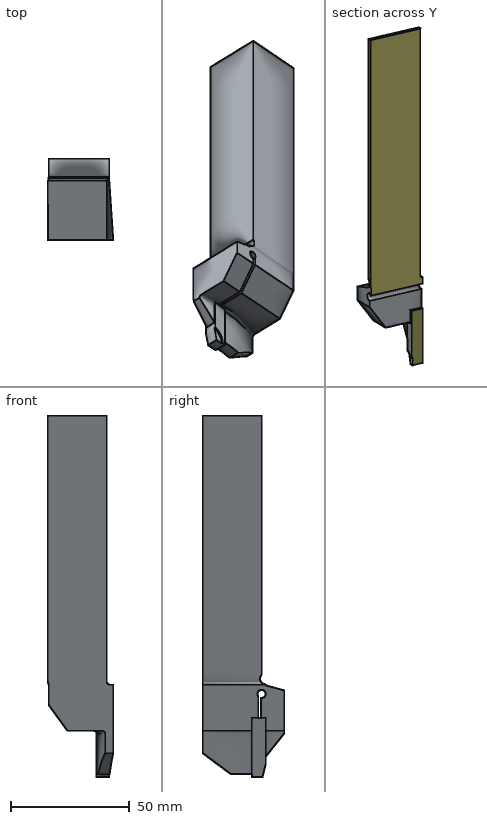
import cadquery as cq

total_height = 152.4
shank_size = 25.0
head_depth = 34.5
head_right = 27.7

shank_front_left = 0.2
head_left = 0.38
head_right_back = 26.0
head_bottom = 19.5
head_top = 39.0
transition_height = 1.2
shank_bottom = head_top + transition_height
left_bevel_top = 30.5
left_bevel_width = 8.0
back_edge_top = 36.5
shoulder_y = 26.7
shoulder_z = 38.7
groove_radius = 2.3
groove_depth = 0.8
back_edge_bottom = 18.5

blade_front_inner = 24.2
blade_mid_inner = 21.26
blade_back_inner = 22.4
blade_mid_outer = 26.2
blade_back_outer = 25.8
blade_mid_y = 11.9
blade_bottom = 1.2
blade_front_bottom = 10.0
blade_tip_y = 26.7
blade_tip_z = 8.7
blade_root_fillet = 1.2
root_margin = 0.2

insert_front = 20.7
insert_back = 26.7
insert_left = 20.4
insert_right = 26.0
insert_top = 25.0
tip_back = 25.3
rake_top = 5.6
tip_relief_depth = 0.6
tip_relief_front = 22.1
tip_relief_mid_y = 24.4
tip_relief_mid_z = 4.4

slit_front = 23.5
slit_width = 1.0
slit_hole_y = 24.8
slit_hole_z = 35.0
slit_hole_radius = 1.7


def extrude_z(sketch, bottom, top):
    """Extrude an XY outline between two heights."""
    return sketch.extrude(top - bottom).translate((0, 0, bottom))


def yz_prism(points):
    """Extrude a closed Y-Z outline across the full X width."""
    return cq.Workplane("YZ").polyline(points).close().extrude(head_right)


def make_shank():
    """Square shank with a very slightly tapered left face."""
    outline = (
        cq.Workplane("XY")
        .moveTo(shank_front_left, 0)
        .lineTo(shank_size, 0)
        .lineTo(shank_size, shank_size)
        .lineTo(0, shank_size)
        .close()
    )
    return extrude_z(outline, shank_bottom, total_height)


def make_head():
    """Bevelled head with a filleted step up to the shank."""
    profile = (
        cq.Workplane("XZ")
        .moveTo(head_left, left_bevel_top)
        .lineTo(head_left + left_bevel_width, head_bottom)
        .lineTo(head_right, head_bottom)
        .lineTo(head_right, head_top)
        .lineTo(shank_size + transition_height, head_top)
        .radiusArc((shank_size, shank_bottom), transition_height)
        .lineTo(0, shank_bottom)
        .lineTo(head_left, head_top)
        .close()
        .extrude(-head_depth)
    )
    plan = (
        cq.Workplane("XY")
        .lineTo(head_right, 0)
        .lineTo(head_right_back, shank_size)
        .lineTo(head_right_back, head_depth)
        .lineTo(head_left, head_depth)
        .lineTo(0, shank_size)
        .lineTo(shank_front_left, 0)
        .close()
    )
    side = yz_prism([
        (0, head_bottom),
        (head_depth, head_bottom),
        (head_depth, back_edge_top),
        (shoulder_y, shoulder_z),
        (shank_size, shank_bottom),
        (0, shank_bottom),
    ])
    return profile.intersect(extrude_z(plan, head_bottom, shank_bottom)).intersect(side)


def make_blade():
    """Thin blade curved in plan, with sloping lower corners."""
    plan = (
        cq.Workplane("XY")
        .moveTo(blade_front_inner, 0)
        .threePointArc((blade_mid_inner, blade_mid_y), (blade_back_inner, head_depth))
        .lineTo(blade_back_outer, head_depth)
        .threePointArc((blade_mid_outer, blade_mid_y), (head_right, 0))
        .close()
    )
    side = yz_prism([
        (0, head_bottom),
        (0, blade_front_bottom),
        (blade_mid_y, blade_bottom),
        (insert_front, blade_bottom),
        (blade_tip_y, blade_tip_z),
        (head_depth, back_edge_bottom),
        (head_depth, head_bottom),
    ])
    return extrude_z(plan, blade_bottom, head_bottom).intersect(side)


def pocket_tool():
    """Block that cuts the insert pocket, open towards +X and downwards."""
    return cq.Workplane("XY").box(
        head_right - insert_left, insert_back - insert_front, insert_top, centered=False
    ).translate((insert_left, insert_front, 0))


def make_holder():
    """Shank, head and blade as one solid, with slit, hole and insert pocket."""
    body = make_shank().union(make_head()).union(make_blade())
    root = cq.selectors.BoxSelector(
        (insert_left, 0, head_bottom - root_margin),
        (blade_front_inner, head_depth, head_bottom + root_margin),
    )
    body = body.edges(root).fillet(blade_root_fillet)
    groove = (
        cq.Workplane("YZ")
        .center(shank_size - groove_depth + groove_radius, shank_bottom + transition_height)
        .circle(groove_radius)
        .extrude(head_right)
    )
    slit = cq.Workplane("XY").box(
        head_right, slit_width, slit_hole_z - head_bottom, centered=False
    ).translate((0, slit_front, head_bottom))
    hole = (
        cq.Workplane("YZ")
        .center(slit_hole_y, slit_hole_z)
        .circle(slit_hole_radius)
        .extrude(head_right)
    )
    return body.cut(groove).cut(slit).cut(hole).cut(pocket_tool()).solids()


def make_insert():
    """Upright cutting insert with a sloped rake and a relieved tip."""
    body = (
        cq.Workplane("YZ")
        .moveTo(insert_front, 0)
        .lineTo(tip_back, 0)
        .lineTo(insert_back, rake_top)
        .lineTo(insert_back, insert_top)
        .lineTo(insert_front, insert_top)
        .close()
        .extrude(insert_right - insert_left)
        .translate((insert_left, 0, 0))
    )
    relief = (
        cq.Workplane("YZ")
        .moveTo(insert_back, 0)
        .lineTo(insert_back, rake_top)
        .threePointArc((tip_relief_mid_y, tip_relief_mid_z), (tip_relief_front, 0))
        .close()
        .extrude(tip_relief_depth)
        .translate((insert_left, 0, 0))
    )
    return body.cut(relief)


holder = make_holder()
insert = make_insert()
result = cq.Compound.makeCompound([holder.val(), insert.val()])